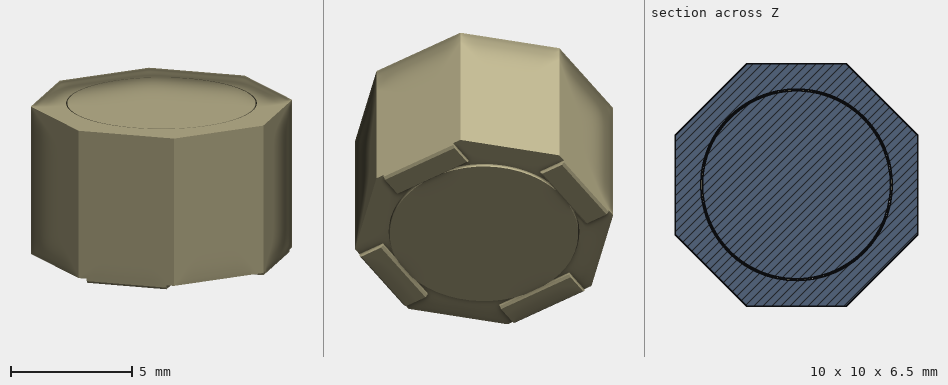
import cadquery as cq

width = 10.0
height = 6.5
flat_width = 4.1
corner_cut = (width - flat_width) / 2

bore_radius = 3.93
gap = 0.05
core_radius = bore_radius - gap

foot_height = 0.2
foot_width = 3.4
foot_depth = 1.15
foot_bevel = 0.1
core_bottom = 0.1


def make_shell():
    """Octagonal prism with a round bore through it."""
    shell = cq.Workplane("XY").workplane(offset=foot_height).rect(width, width)
    shell = shell.extrude(height - foot_height)
    shell = shell.edges("|Z").chamfer(corner_cut)
    return shell.faces(">Z").workplane().hole(2 * bore_radius)


def make_core():
    """Cylinder flush with the shell's top and reaching slightly below its base."""
    core = cq.Workplane("XY").workplane(offset=core_bottom).circle(core_radius)
    return core.extrude(height - core_bottom)


def make_foot(angle):
    """Foot bevelled along its inner and outer bottom edges; its inner edge bridges to the core."""
    foot = cq.Workplane("XY").box(foot_depth, foot_width, foot_height, centered=(True, True, False))
    foot = foot.faces("<Z").edges("|Y").chamfer(foot_bevel)
    foot = foot.translate(((width - foot_depth) / 2, 0, 0))
    return foot.rotate((0, 0, 0), (0, 0, 1), angle)


result = make_shell().union(make_core())
for side_angle in (0, 90, 180, 270):
    result = result.union(make_foot(side_angle))